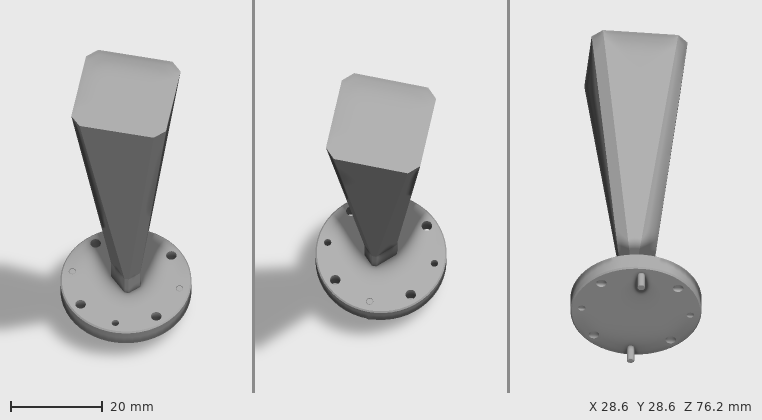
import cadquery as cq
import math

total_height = 76.15

flange_diameter = 28.55
flange_thickness = 4.2
flange_bottom = 3.8
flange_chamfer = 0.3
flange_top = flange_bottom + flange_thickness

hole_circle_radius = 11.9
screw_hole_diameter = 2.3
pin_diameter = 1.6
pin_end_chamfer = 0.15
first_pin_angle = 45
second_pin_angle = first_pin_angle + 180
second_pin_tip = pin_end_chamfer

neck_width_x = 6.6
neck_width_y = 4.35
neck_corner_cut = 0.7
neck_height = 5.0
neck_top = flange_top + neck_height
mouth_width = 26.5
mouth_flat = 3.2
mouth_corner_cut = (mouth_width - mouth_flat) / 2


def cut_corner_wire(width_x, width_y, corner_cut, z):
    """Closed octagon: a centred rectangle with 45 degree corner cuts."""
    outer_x = width_x / 2
    outer_y = width_y / 2
    inner_x = outer_x - corner_cut
    inner_y = outer_y - corner_cut
    corners = [
        (outer_x, -inner_y), (outer_x, inner_y),
        (inner_x, outer_y), (-inner_x, outer_y),
        (-outer_x, inner_y), (-outer_x, -inner_y),
        (-inner_x, -outer_y), (inner_x, -outer_y),
    ]
    return cq.Wire.makePolygon([cq.Vector(x, y, z) for x, y in corners], close=True)


def circle_point(angle):
    """Point on the hole circle at the given angle in degrees."""
    turn = math.radians(angle)
    return hole_circle_radius * math.cos(turn), hole_circle_radius * math.sin(turn)


def make_flange():
    flange = (
        cq.Workplane("XY")
        .workplane(offset=flange_bottom)
        .circle(flange_diameter / 2)
        .extrude(flange_thickness)
        .edges()
        .chamfer(flange_chamfer)
    )
    for quarter in range(4):
        screw_angle = 90 * quarter
        pin_hole_angle = screw_angle + first_pin_angle
        for angle, diameter in ((screw_angle, screw_hole_diameter), (pin_hole_angle, pin_diameter)):
            hole = (
                cq.Workplane("XY")
                .workplane(offset=flange_bottom)
                .center(*circle_point(angle))
                .circle(diameter / 2)
                .extrude(flange_thickness)
            )
            flange = flange.cut(hole)
    return flange


def make_horn_body():
    """Flange, straight neck and flared horn as one solid."""
    neck_base = cut_corner_wire(neck_width_x, neck_width_y, neck_corner_cut, flange_top)
    neck_end = cut_corner_wire(neck_width_x, neck_width_y, neck_corner_cut, neck_top)
    mouth = cut_corner_wire(mouth_width, mouth_width, mouth_corner_cut, total_height)
    neck = cq.Solid.makeLoft([neck_base, neck_end], True)
    flare = cq.Solid.makeLoft([neck_end, mouth], True)
    return make_flange().union(cq.Workplane(neck)).union(cq.Workplane(flare))


def make_pin(angle, tip_z):
    """Pin with a chamfered upper end, flush with the top of the flange."""
    return (
        cq.Workplane("XY")
        .workplane(offset=tip_z)
        .center(*circle_point(angle))
        .circle(pin_diameter / 2)
        .extrude(flange_top - tip_z)
        .faces(">Z")
        .edges()
        .chamfer(pin_end_chamfer)
    )


horn_body = make_horn_body()
first_pin = make_pin(first_pin_angle, 0).faces("<Z").edges().chamfer(pin_end_chamfer)
second_pin = make_pin(second_pin_angle, second_pin_tip)

result = cq.Compound.makeCompound([horn_body.val(), first_pin.val(), second_pin.val()])